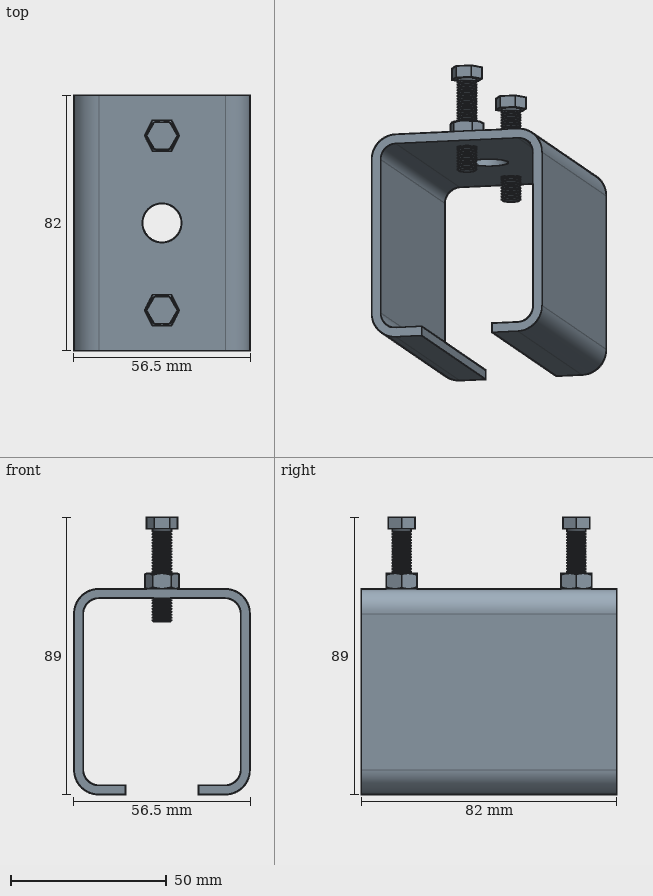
import cadquery as cq
import math

total_height = 89.0

channel_width = 56.5
channel_length = 82.0
channel_height = 66.0
wall = 3.0
corner_radius = 8.0
lip_gap = 23.3
center_hole_dia = 12.5

bolt_spacing = 56.05
head_flats = 8.6
head_height = 3.7
shank_length = 29.8
thread_dia = 6.1
thread_root_dia = 5.0
collar_length = 0.8
thread_pitches = 31.5

nut_flats = 10.0
nut_corners = 11.0
nut_y_face_width = 6.05
nut_height = 5.0
nut_end_face_dia = 9.8
nut_chamfer_angle = 30.0

inner_width = channel_width - 2 * wall
inner_height = channel_height - 2 * wall
inner_radius = corner_radius - wall
thread_pitch = (shank_length - collar_length) / thread_pitches
head_bottom = total_height - head_height
bolt_positions = [-bolt_spacing / 2, bolt_spacing / 2]


def across_corners(flats):
    """Corner-to-corner size of a regular hexagon."""
    return flats / math.cos(math.pi / 6)


def rounded_bar(width, height, radius):
    """Bar along Y with its bottom on Z = 0 and its four long edges rounded."""
    bar = cq.Workplane("XY").box(width, channel_length, height, centered=(True, True, False))
    return bar.edges("|Y").fillet(radius)


def make_housing():
    cavity = rounded_bar(inner_width, inner_height, inner_radius).translate((0, 0, wall))
    slot = cq.Workplane("XY").box(lip_gap, channel_length, wall, centered=(True, True, False))
    body = rounded_bar(channel_width, channel_height, corner_radius).cut(cavity).cut(slot)

    top = cq.Workplane("XY").workplane(offset=channel_height)
    center_hole = top.circle(center_hole_dia / 2).extrude(-wall)
    bolt_holes = top.pushPoints([(0, y) for y in bolt_positions]).circle(thread_dia / 2).extrude(-wall)
    return body.cut(center_hole).cut(bolt_holes)


def make_bolt(y):
    """Hex head bolt, head up, with a plain collar and ring-shaped thread ridges."""
    crest = thread_dia / 2
    root = thread_root_dia / 2
    thread_top = head_bottom - collar_length

    outline = [(0, head_bottom), (crest, head_bottom)]
    for step in range(int(2 * thread_pitches) + 1):
        radius = crest if step % 2 == 0 else root
        outline.append((radius, thread_top - step * thread_pitch / 2))
    outline.append((0, head_bottom - shank_length))

    shank = cq.Workplane("XZ").polyline(outline).close().revolve(360, (0, 0, 0), (0, 1, 0))
    head = (
        cq.Workplane("XY")
        .workplane(offset=head_bottom)
        .polygon(6, across_corners(head_flats))
        .extrude(head_height)
    )
    return shank.union(head).translate((0, y, 0))


def make_nut(y):
    """Hex nut on top of the housing, with the corners of both ends chamfered."""
    half_corners = nut_corners / 2
    half_flats = nut_flats / 2
    half_face = nut_y_face_width / 2
    outline = [
        (half_corners, 0),
        (half_face, half_flats),
        (-half_face, half_flats),
        (-half_corners, 0),
        (-half_face, -half_flats),
        (half_face, -half_flats),
    ]
    hexagon = cq.Workplane("XY").polyline(outline).close().extrude(nut_height)

    outer_radius = math.hypot(half_face, half_flats)
    chamfer_width = outer_radius - nut_end_face_dia / 2
    chamfer_drop = chamfer_width * math.tan(math.radians(nut_chamfer_angle))
    envelope = (
        cq.Workplane("XY")
        .circle(outer_radius)
        .extrude(nut_height)
        .faces("<Z or >Z")
        .edges()
        .chamfer(chamfer_drop, chamfer_width)
    )
    bore = cq.Workplane("XY").circle(thread_dia / 2).extrude(nut_height)
    return hexagon.intersect(envelope).cut(bore).translate((0, y, channel_height))


housing = make_housing()
bolts = [make_bolt(y) for y in bolt_positions]
nuts = [make_nut(y) for y in bolt_positions]

result = cq.Compound.makeCompound(
    [
        housing.val(),
        *[bolt.val() for bolt in bolts],
        *[nut.val() for nut in nuts],
    ]
)